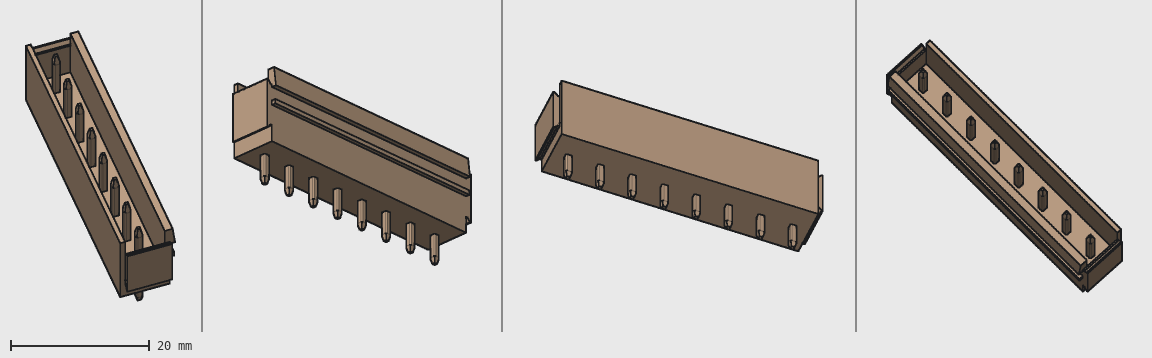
import cadquery as cq

housing_length = 40.0
housing_height = 11.93
front_wall = 0.75
floor_back = 7.65
floor_thickness = 3.35
back_wall_inner = 6.85

ledge_bottom = 8.8
ledge_reach = 8.45
ledge_top_reach = 8.05

rib_bottom = 5.92
rib_height = 0.7
rib_reach = 8.3

overall_length = 42.0
plate_reach = (overall_length - housing_length) / 2
plate_bottom = 2.0
plate_top = 9.83
plate_flare = 0.6
neck_length = 0.3
plate_rim = 0.2

pin_count = 8
pin_pitch = 5.0
pin_center = 3.75
pin_width = 1.0
pin_corner_radius = 0.2
pin_bottom = -4.58
pin_top = 11.1
bottom_tip_width = 0.5
top_tip_width = 0.4
bottom_tip_length = 1.0
top_tip_length = 1.45
pin_xs = [(i - (pin_count - 1) / 2) * pin_pitch for i in range(pin_count)]


def make_trough():
    """Floor, front wall and back wall with its ledge, as one extruded section."""
    section = [
        (0, 0),
        (floor_back, 0),
        (floor_back, ledge_bottom),
        (ledge_reach, ledge_bottom),
        (ledge_top_reach, housing_height),
        (back_wall_inner, housing_height),
        (back_wall_inner, floor_thickness),
        (front_wall, floor_thickness),
        (front_wall, housing_height),
        (0, housing_height),
    ]
    return cq.Workplane("YZ").polyline(section).close().extrude(housing_length / 2, both=True)


def make_rib():
    """Square rib running the length of the back face."""
    return cq.Workplane("XY").box(
        housing_length, rib_reach - floor_back, rib_height, centered=(True, False, False)
    ).translate((0, floor_back, rib_bottom))


def make_end_plate(side):
    """Plate on one end (side is -1 or 1) that flares from a neck to its outer face."""
    inner_x = side * housing_length / 2
    neck_x = inner_x + side * neck_length
    outer_x = inner_x + side * plate_reach
    rim_x = outer_x - side * plate_rim
    profile = [
        (inner_x, plate_bottom + plate_flare),
        (neck_x, plate_bottom + plate_flare),
        (rim_x, plate_bottom),
        (outer_x, plate_bottom),
        (outer_x, plate_top),
        (rim_x, plate_top),
        (neck_x, plate_top - plate_flare),
        (inner_x, plate_top - plate_flare),
    ]
    plate = cq.Workplane("XZ", origin=(0, front_wall, 0)).polyline(profile).close()
    return plate.extrude(front_wall - floor_back)


def square_taper(z_low, width_low, z_high, width_high):
    """Square block whose width changes evenly between two heights."""
    base = cq.Workplane("XY", origin=(0, 0, z_low)).rect(width_low, width_low)
    return base.workplane(offset=z_high - z_low).rect(width_high, width_high).loft(ruled=True)


def make_pin(x):
    """Square pin with rounded long edges and a pyramid tip at each end."""
    shank_bottom = pin_bottom + bottom_tip_length
    shank_top = pin_top - top_tip_length
    bar = cq.Workplane("XY", origin=(0, 0, pin_bottom)).rect(pin_width, pin_width)
    bar = bar.extrude(pin_top - pin_bottom)
    bar = bar.edges("|Z").fillet(pin_corner_radius)
    envelope = square_taper(shank_bottom, pin_width, shank_top, pin_width)
    envelope = envelope.union(square_taper(pin_bottom, bottom_tip_width, shank_bottom, pin_width))
    envelope = envelope.union(square_taper(shank_top, pin_width, pin_top, top_tip_width))
    return bar.intersect(envelope).translate((x, pin_center, 0))


def make_housing(pins):
    """Housing with a matching hole through the floor for every pin."""
    housing = make_trough().union(make_rib())
    for side in (-1, 1):
        housing = housing.union(make_end_plate(side))
    for pin in pins:
        housing = housing.cut(pin)
    return housing


pins = [make_pin(x) for x in pin_xs]
housing = make_housing(pins)

result = cq.Compound.makeCompound([housing.val(), *[pin.val() for pin in pins]])